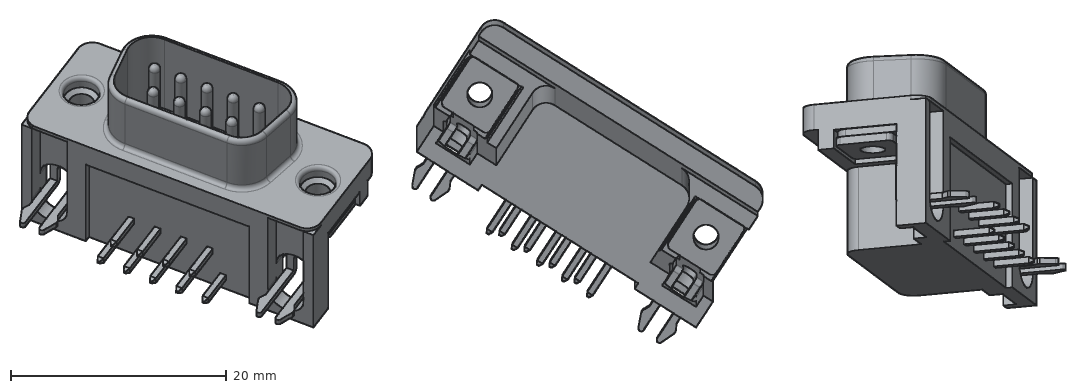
import cadquery as cq
import math


WIDTH = 30.81
DEPTH = 12.55
HEIGHT = 18.5
PLATE_TOP = 12.4
PLATE_THICKNESS = 0.38
PLATE_BOTTOM = PLATE_TOP - PLATE_THICKNESS
CORNER_RADIUS = 1.5
MID_Y = DEPTH / 2
TOLERANCE = 0.01

SHELL_DEPTH = 9.35
SHELL_CORNER_RADIUS = 2.93
SHELL_SLANT = math.radians(10)
SHELL_CORNER_X_BACK = 6.0
SHELL_WALL = 0.53
SHELL_FLOOR = 9.5
SHELL_RIM_FILLET = 0.5
SHELL_BASE_FILLET = 0.47

FLANGE_BOTTOM = 9.95
BODY_BACK = 10.63
RIB_BOTTOM = 8.0
BRACKET_DEPTH = 2.92
BLOCK_HALF_WIDTH = 8.5
RECESS_WIDTH = 17.25
RECESS_HEIGHT = 9.97
RECESS_DEPTH = 0.63
POCKET_BACK = 9.07
POCKET_TOP = 9.8
POCKET_INNER_X = 9.5

MOUNT_X = 12.475
HOLE_RADIUS = 1.17
BORE_RADIUS = 1.68
HOLE_LIP_FILLET = 0.42
BORE_DEPTH = 1.25
CONE_HEIGHT = 0.35
SLOT_RADIUS = 1.87
SLOT_BOTTOM = 1.0
SLOT_TOP = 6.6
GROOVE_DEPTH = 1.65

LOCK_HALF_WIDTH = 2.65
LOCK_NUT_HALF_WIDTH = 2.75
LOCK_NUT_BOTTOM = 9.13
LOCK_NUT_RADIUS = 1.07
LOCK_HEAD_BOTTOM = 8.37
LOCK_HEAD_RADIUS = 0.5
LOCK_SHEET = 0.58
LOCK_BEND_RADIUS = 0.56
LOCK_SHOULDER_TOP = 6.58
LOCK_SHOULDER_BOTTOM = 6.2
LEG_BOTTOM = 2.61
LEG_OUTER = 1.505
LEG_INNER = 0.735
LEG_GAP_TOP = 5.36
LEG_LENGTH = 3.55
BARB_OUTER = 1.83
BARB_START = 1.1
BARB_FULL = 1.75
BARB_END = 2.0
LEG_TIP_WIDTH = 0.55
LEG_TIP_ROUND = 0.22

LONG_ROW = 5
SHORT_ROW = LONG_ROW - 1
PITCH = 2.765
ROW_SPACING = 2.82
MATING_PIN_RADIUS = 0.54
MATING_PIN_TOP = 17.78
DOME_FLAT_RADIUS = 0.001
TAIL_SIZE = 0.61
TAIL_LENGTH = 3.22
TAIL_TIP_LENGTH = 0.4
TAIL_TIP_SIZE = 0.25
TAIL_LOW_Z = 1.5


def box(x_min, x_max, y_min, y_max, z_min, z_max):
    """Box given by its limits along each axis."""
    size = (x_max - x_min, y_max - y_min, z_max - z_min)
    return cq.Workplane("XY").box(*size, centered=False).translate((x_min, y_min, z_min))


def shell_prism(inset, z_min, z_max):
    """Rounded D-shaped prism; inset shrinks it evenly from the outside of the shell."""
    back_y = MID_Y + SHELL_DEPTH / 2 - SHELL_CORNER_RADIUS
    front_y = MID_Y - SHELL_DEPTH / 2 + SHELL_CORNER_RADIUS
    front_x = SHELL_CORNER_X_BACK - (back_y - front_y) * math.tan(SHELL_SLANT)
    corner_centres = [
        (-SHELL_CORNER_X_BACK, back_y),
        (-front_x, front_y),
        (front_x, front_y),
        (SHELL_CORNER_X_BACK, back_y),
    ]
    outline = cq.Workplane("XY", origin=(0, 0, z_min)).polyline(corner_centres).close()
    return outline.offset2D(SHELL_CORNER_RADIUS - inset).extrude(z_max - z_min)


def plate_and_shell():
    """Thin mounting plate with the still solid shell rising from it."""
    plate = box(-WIDTH / 2, WIDTH / 2, 0, DEPTH, PLATE_BOTTOM, PLATE_TOP)
    plate = plate.edges("|Z").fillet(CORNER_RADIUS)
    part = plate.union(shell_prism(0, PLATE_BOTTOM, HEIGHT))
    part = part.faces(">Z").edges().fillet(SHELL_RIM_FILLET)
    inset = SHELL_WALL
    shell_base = cq.selectors.BoxSelector(
        (-WIDTH / 2 + inset, inset, PLATE_TOP - TOLERANCE),
        (WIDTH / 2 - inset, DEPTH - inset, PLATE_TOP + TOLERANCE),
        boundingbox=True,
    )
    return part.edges(shell_base).fillet(SHELL_BASE_FILLET)


def insulating_body():
    """Flange, rear rib, central block and the front bracket with its shallow recess."""
    flange = box(-WIDTH / 2, WIDTH / 2, 0, DEPTH, FLANGE_BOTTOM, PLATE_BOTTOM)
    flange = flange.edges("|Z and >Y").fillet(CORNER_RADIUS)
    rib = box(-WIDTH / 2, WIDTH / 2, 0, BODY_BACK, RIB_BOTTOM, FLANGE_BOTTOM)
    block = box(-BLOCK_HALF_WIDTH, BLOCK_HALF_WIDTH, 0, BODY_BACK, 0, RIB_BOTTOM)
    block = block.edges("|Z and >Y").fillet(CORNER_RADIUS)
    bracket = box(-WIDTH / 2, WIDTH / 2, 0, BRACKET_DEPTH, 0, RIB_BOTTOM)
    body = flange.union(rib).union(block).union(bracket)
    recess = box(-RECESS_WIDTH / 2, RECESS_WIDTH / 2, 0, RECESS_DEPTH, 0, RECESS_HEIGHT)
    return body.cut(recess)


def side_pocket(side):
    """Pocket behind the bracket that houses one board lock, open to the outside."""
    pocket = box(POCKET_INNER_X, WIDTH / 2, BRACKET_DEPTH, POCKET_BACK, RIB_BOTTOM, POCKET_TOP)
    return pocket if side > 0 else pocket.mirror("YZ")


def upright_slot(x, z_min, z_max, radius, depth):
    """Vertical round-ended slot cut from the front face to the given depth."""
    plane = cq.Workplane("XZ", origin=(x, 0, (z_min + z_max) / 2))
    return plane.slot2D(z_max - z_min, 2 * radius, 90).extrude(-depth)


def lock_slot(x):
    """Round-footed front groove reaching the plate, with an arched opening behind it that runs out below."""
    foot_centre_z = SLOT_BOTTOM + SLOT_RADIUS
    arch_centre_z = SLOT_TOP - SLOT_RADIUS
    left = x - SLOT_RADIUS
    right = x + SLOT_RADIUS
    foot = upright_slot(x, SLOT_BOTTOM, SLOT_TOP, SLOT_RADIUS, BRACKET_DEPTH)
    groove = box(left, right, 0, GROOVE_DEPTH, foot_centre_z, PLATE_BOTTOM)
    opening = box(left, right, GROOVE_DEPTH, BRACKET_DEPTH, 0, arch_centre_z)
    return foot.union(groove).union(opening)


def lock_leg():
    """One barbed snap-in leg on the +X side of a board lock centred on X = 0."""
    root_y = BRACKET_DEPTH + LOCK_SHEET
    tip_start_y = -LEG_LENGTH + LEG_TIP_ROUND
    outline = (
        cq.Workplane("XY", origin=(0, 0, LEG_BOTTOM))
        .moveTo(LEG_INNER, root_y)
        .lineTo(LEG_INNER, tip_start_y)
        .threePointArc(
            (LEG_INNER + LEG_TIP_WIDTH / 2, -LEG_LENGTH), (LEG_INNER + LEG_TIP_WIDTH, tip_start_y)
        )
        .lineTo(BARB_OUTER, -BARB_END)
        .lineTo(BARB_OUTER, -BARB_FULL)
        .lineTo(LEG_OUTER, -BARB_START)
        .lineTo(LEG_OUTER, root_y)
        .close()
    )
    return outline.extrude(LOCK_SHEET)


def board_lock(x):
    """Bent-sheet board lock: nut and head in the pocket, upright strip, and two forward legs."""
    strip_back = BRACKET_DEPTH + LOCK_SHEET
    half = LOCK_HALF_WIDTH
    nut_half = LOCK_NUT_HALF_WIDTH
    nut = box(-nut_half, nut_half, BRACKET_DEPTH, POCKET_BACK, LOCK_NUT_BOTTOM, POCKET_TOP)
    nut = nut.edges("|Z and >Y").fillet(LOCK_NUT_RADIUS)
    head = box(-half, half, strip_back, POCKET_BACK, LOCK_HEAD_BOTTOM, LOCK_NUT_BOTTOM)
    head = head.edges("|Z").fillet(LOCK_HEAD_RADIUS)

    neck = LEG_OUTER - (LOCK_SHOULDER_TOP - LOCK_SHOULDER_BOTTOM)
    right_edge = [
        (neck, LOCK_NUT_BOTTOM),
        (neck, LOCK_SHOULDER_TOP),
        (LEG_OUTER, LOCK_SHOULDER_BOTTOM),
        (LEG_OUTER, LEG_BOTTOM),
    ]
    left_edge = [(-px, pz) for px, pz in reversed(right_edge)]
    strip = cq.Workplane("XZ", origin=(0, BRACKET_DEPTH, 0)).polyline(right_edge + left_edge).close()
    strip = strip.extrude(-LOCK_SHEET)

    leg = lock_leg()
    lower = strip.union(leg).union(leg.mirror("YZ"))
    bend = cq.selectors.BoxSelector(
        (-half, strip_back - TOLERANCE, LEG_BOTTOM - TOLERANCE),
        (half, strip_back + TOLERANCE, LEG_BOTTOM + TOLERANCE),
    )
    gap = upright_slot(0, -LEG_GAP_TOP, LEG_GAP_TOP, LEG_INNER, strip_back)
    lower = lower.edges(bend).fillet(LOCK_BEND_RADIUS).cut(gap)
    return nut.union(head).union(lower).translate((x, 0, 0))


def mounting_hole(x):
    """Through hole widening by a cone to a bore with a rounded lip at the plate."""
    lip_radius = BORE_RADIUS + HOLE_LIP_FILLET
    lip_bottom = PLATE_TOP - HOLE_LIP_FILLET
    bore_bottom = PLATE_TOP - BORE_DEPTH
    mid_offset = HOLE_LIP_FILLET * (1 - math.sqrt(0.5))
    profile = (
        cq.Workplane("XZ")
        .moveTo(0, 0)
        .lineTo(HOLE_RADIUS, 0)
        .lineTo(HOLE_RADIUS, bore_bottom - CONE_HEIGHT)
        .lineTo(BORE_RADIUS, bore_bottom)
        .lineTo(BORE_RADIUS, lip_bottom)
        .threePointArc((BORE_RADIUS + mid_offset, PLATE_TOP - mid_offset), (lip_radius, PLATE_TOP))
        .lineTo(0, PLATE_TOP)
        .close()
    )
    return profile.revolve(360, (0, 0, 0), (0, 1, 0)).translate((x, MID_Y, 0))


def row_positions(count):
    """X positions of a centred row of contacts."""
    return [(i - (count - 1) / 2) * PITCH for i in range(count)]


def mating_pin(x, y):
    """Round contact pin with a hemispherical end inside the shell."""
    pin = cq.Workplane("XY", origin=(x, y, SHELL_FLOOR)).circle(MATING_PIN_RADIUS)
    pin = pin.extrude(MATING_PIN_TOP - SHELL_FLOOR)
    return pin.faces(">Z").edges().fillet(MATING_PIN_RADIUS - DOME_FLAT_RADIUS)


def solder_tail(x, z):
    """Square solder tail with a tapered tip, standing out of the recess toward the board."""
    straight_end = -(TAIL_LENGTH - TAIL_TIP_LENGTH)
    half = TAIL_SIZE / 2
    shank = box(x - half, x + half, straight_end, BRACKET_DEPTH, z - half, z + half)
    tip = cq.Workplane("XZ", origin=(x, straight_end, z)).rect(TAIL_SIZE, TAIL_SIZE)
    tip = tip.workplane(offset=TAIL_TIP_LENGTH).rect(TAIL_TIP_SIZE, TAIL_TIP_SIZE).loft()
    return shank.union(tip)


def connector():
    """The complete connector as one solid."""
    part = plate_and_shell().union(insulating_body())
    part = part.cut(shell_prism(SHELL_WALL, SHELL_FLOOR, HEIGHT))
    for side in (-1, 1):
        x = side * MOUNT_X
        part = part.cut(side_pocket(side)).cut(lock_slot(x))
        part = part.union(board_lock(x)).cut(mounting_hole(x))
    for count, row in ((LONG_ROW, 1), (SHORT_ROW, -1)):
        pin_y = MID_Y + row * ROW_SPACING / 2
        tail_z = TAIL_LOW_Z if row > 0 else TAIL_LOW_Z + ROW_SPACING
        for x in row_positions(count):
            part = part.union(mating_pin(x, pin_y)).union(solder_tail(x, tail_z))
    return part


result = connector()